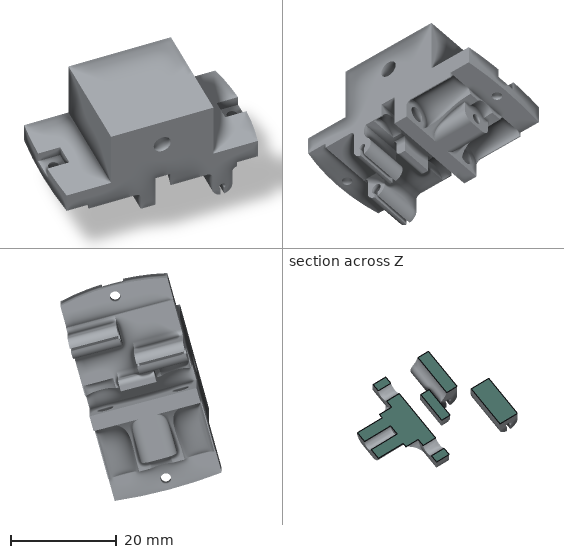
import cadquery as cq
import math


WIDTH = 21.0
HALF_WIDTH = WIDTH / 2
BLOCK_LENGTH = 21.0
BLOCK_TOP = 16.0
PLATE_TOP = 4.0
PLATE_CORNER_Y = 19.6
PLATE_FRONT_Y = -20.18
PLATE_BACK_Y = 20.8
CROSS_HOLE_DIAMETER = 3.5
CROSS_HOLE_Z = 10.25

SEAT_FLOOR_Z = 2.0
SEAT_HOLE_DIAMETER = 2.0
FRONT_SEAT_WIDTH = 4.5
FRONT_SEAT_INNER_Y = -15.65
FRONT_SEAT_HOLE_Y = -17.95
BACK_SEAT_WIDTH = 4.2
BACK_SEAT_INNER_Y = 16.4
BACK_SEAT_HOLE_Y = 18.65

BASE_BOTTOM = -1.05
BASE_FRONT_Y = -15.1
BASE_BACK_Y = 15.37
LEG_BOTTOM = -5.0
SLOT_FRONT_Y = -1.42
SLOT_BACK_Y = 1.7
SLOT_TOP = 1.9
ROOT_RADIUS = 1.0

FRONT_LEG_Y = -4.4
GUSSET_RADIUS = 15.0
BOSS_WIDTH = 7.0
BOSS_FRONT_Y = -12.95
BOSS_CORNER_RADIUS = 1.92
BOSS_HOLE_DIAMETER = 2.1
BOSS_HOLE_DEPTH = 6.0
BOSS_AXIS_Z = -2.95
BOSS_CLEARANCE_RADIUS = 2.83

RECESS_X = 7.38
RECESS_Z = -2.1
RECESS_RADIUS = 3.1
RECESS_HOLE_DIAMETER = 3.2

REAR_LEG_Y = 3.72

CLIP_INNER_X = 0.95
CLIP_RADIUS = 2.06
CLIP_HOLE_DIAMETER = 1.3
CLIP_MOUTH = 0.75
STRAIGHT_CLIP_Y = 12.32
STRAIGHT_CLIP_Z = -5.15
COUNTERBORE_DIAMETER = 2.1
COUNTERBORE_DEPTH = 1.0
CURVED_CLIP_Y = 6.4
CURVED_CLIP_Z = -6.384
THROAT_Y = 6.0
THROAT_RADIUS = 3.2


def box(x_range, y_range, z_range):
    """Box given by its limits along each axis."""
    size = [high - low for low, high in (x_range, y_range, z_range)]
    low_corner = (x_range[0], y_range[0], z_range[0])
    return cq.Workplane("XY").box(*size, centered=False).translate(low_corner)


def rod_y(x, z, radius, y_start, y_end):
    """Cylinder along Y."""
    start = cq.Vector(x, y_start, z)
    return cq.Workplane(cq.Solid.makeCylinder(radius, y_end - y_start, start, cq.Vector(0, 1, 0)))


def rod_x(y, z, radius, x_start, x_end):
    """Cylinder along X."""
    start = cq.Vector(x_start, y, z)
    return cq.Workplane(cq.Solid.makeCylinder(radius, x_end - x_start, start, cq.Vector(1, 0, 0)))


def side_plane(x):
    """Sketch plane facing +X whose local axes are Y and Z."""
    return cq.Workplane("YZ", origin=(x, 0, 0))


def root_fillet(y, outward, x_range):
    """Concave fillet between a leg face at y and the base; outward is +1 or -1 along Y."""
    diagonal = ROOT_RADIUS * (1 - math.sqrt(0.5))
    return (
        side_plane(x_range[0])
        .moveTo(y, BASE_BOTTOM)
        .lineTo(y + outward * ROOT_RADIUS, BASE_BOTTOM)
        .threePointArc((y + outward * diagonal, BASE_BOTTOM - diagonal), (y, BASE_BOTTOM - ROOT_RADIUS))
        .close()
        .extrude(x_range[1] - x_range[0])
    )


def make_plate():
    return (
        cq.Workplane("XY")
        .moveTo(-HALF_WIDTH, -PLATE_CORNER_Y)
        .threePointArc((0, PLATE_FRONT_Y), (HALF_WIDTH, -PLATE_CORNER_Y))
        .lineTo(HALF_WIDTH, PLATE_CORNER_Y)
        .threePointArc((0, PLATE_BACK_Y), (-HALF_WIDTH, PLATE_CORNER_Y))
        .close()
        .extrude(PLATE_TOP)
    )


def make_body():
    full_width = (-HALF_WIDTH, HALF_WIDTH)
    block = box(full_width, (-BLOCK_LENGTH / 2, BLOCK_LENGTH / 2), (0, BLOCK_TOP))
    base = box(full_width, (BASE_FRONT_Y, BASE_BACK_Y), (BASE_BOTTOM, PLATE_TOP))
    return make_plate().union(block).union(base)


def cut_seat(body, width, inner_y, outer_y, hole_y):
    """Open-ended screw seat with a through hole."""
    y_range = (min(inner_y, outer_y), max(inner_y, outer_y))
    seat = box((-width / 2, width / 2), y_range, (SEAT_FLOOR_Z, PLATE_TOP))
    hole = cq.Workplane("XY").center(0, hole_y).circle(SEAT_HOLE_DIAMETER / 2).extrude(PLATE_TOP)
    return body.cut(seat).cut(hole)


def make_front_leg():
    full_width = (-HALF_WIDTH, HALF_WIDTH)
    leg = box(full_width, (FRONT_LEG_Y, SLOT_FRONT_Y), (LEG_BOTTOM, 0))
    return leg.union(root_fillet(FRONT_LEG_Y, -1, full_width))


def make_gusset():
    """Large concave gusset from the foot of the front leg, tangent to the base underside."""
    drop = BASE_BOTTOM - LEG_BOTTOM
    centre_z = BASE_BOTTOM - GUSSET_RADIUS
    tangent_y = FRONT_LEG_Y - math.sqrt(GUSSET_RADIUS**2 - (GUSSET_RADIUS - drop) ** 2)
    half_angle = math.asin((FRONT_LEG_Y - tangent_y) / GUSSET_RADIUS) / 2
    middle = (
        tangent_y + GUSSET_RADIUS * math.sin(half_angle),
        centre_z + GUSSET_RADIUS * math.cos(half_angle),
    )
    return (
        side_plane(-RECESS_X)
        .moveTo(FRONT_LEG_Y, BASE_BOTTOM)
        .lineTo(tangent_y, BASE_BOTTOM)
        .threePointArc(middle, (FRONT_LEG_Y, LEG_BOTTOM))
        .close()
        .extrude(2 * RECESS_X)
    )


def make_boss():
    boss = box((-BOSS_WIDTH / 2, BOSS_WIDTH / 2), (BOSS_FRONT_Y, FRONT_LEG_Y), (LEG_BOTTOM, BASE_BOTTOM))
    return boss.edges("|Y and <Z").fillet(BOSS_CORNER_RADIUS)


def make_rear_leg():
    x_range = (-BOSS_WIDTH / 2, BOSS_WIDTH / 2)
    leg = box(x_range, (SLOT_BACK_Y, REAR_LEG_Y), (LEG_BOTTOM, BASE_BOTTOM))
    leg = leg.edges("|X and >Y and <Z").fillet(ROOT_RADIUS)
    return leg.union(root_fillet(REAR_LEG_Y, 1, x_range))


def cut_keyhole(clip, y, z, x_range):
    """Snap-in pin hole with an open mouth below it."""
    hole = rod_x(y, z, CLIP_HOLE_DIAMETER / 2, *x_range)
    mouth = box(x_range, (y - CLIP_MOUTH / 2, y + CLIP_MOUTH / 2), (z - 2 * CLIP_RADIUS, z))
    return clip.cut(hole).cut(mouth)


def make_straight_clip():
    x_range = (CLIP_INNER_X, HALF_WIDTH)
    front_y = STRAIGHT_CLIP_Y - CLIP_RADIUS
    back_y = STRAIGHT_CLIP_Y + CLIP_RADIUS
    clip = box(x_range, (front_y, back_y), (STRAIGHT_CLIP_Z, BASE_BOTTOM))
    clip = clip.union(rod_x(STRAIGHT_CLIP_Y, STRAIGHT_CLIP_Z, CLIP_RADIUS, *x_range))
    clip = clip.union(root_fillet(front_y, -1, x_range)).union(root_fillet(back_y, 1, x_range))
    counterbore = rod_x(
        STRAIGHT_CLIP_Y,
        STRAIGHT_CLIP_Z,
        COUNTERBORE_DIAMETER / 2,
        CLIP_INNER_X,
        CLIP_INNER_X + COUNTERBORE_DEPTH,
    )
    return cut_keyhole(clip.cut(counterbore), STRAIGHT_CLIP_Y, STRAIGHT_CLIP_Z, x_range)


def make_curved_clip():
    """Clip whose concave throat runs tangentially into the round tip."""
    x_range = (-HALF_WIDTH, -CLIP_INNER_X)
    back_y = CURVED_CLIP_Y + CLIP_RADIUS
    throat_centre_y = THROAT_Y - THROAT_RADIUS
    centre_distance = THROAT_RADIUS + CLIP_RADIUS
    offset_y = CURVED_CLIP_Y - throat_centre_y
    offset_z = math.sqrt(centre_distance**2 - offset_y**2)
    throat_centre_z = CURVED_CLIP_Z + offset_z
    tangent_y = throat_centre_y + offset_y * THROAT_RADIUS / centre_distance
    tangent_z = throat_centre_z - offset_z * THROAT_RADIUS / centre_distance
    throat_rise = BASE_BOTTOM - throat_centre_z
    throat_top_y = throat_centre_y + math.sqrt(THROAT_RADIUS**2 - throat_rise**2)
    clip = (
        side_plane(x_range[0])
        .moveTo(back_y, BASE_BOTTOM)
        .lineTo(throat_top_y, BASE_BOTTOM)
        .threePointArc((THROAT_Y, throat_centre_z), (tangent_y, tangent_z))
        .lineTo(CURVED_CLIP_Y, CURVED_CLIP_Z)
        .lineTo(back_y, CURVED_CLIP_Z)
        .close()
        .extrude(x_range[1] - x_range[0])
    )
    clip = clip.union(rod_x(CURVED_CLIP_Y, CURVED_CLIP_Z, CLIP_RADIUS, *x_range))
    clip = clip.union(root_fillet(back_y, 1, x_range))
    return cut_keyhole(clip, CURVED_CLIP_Y, CURVED_CLIP_Z, x_range)


def cut_slot(body):
    slot = box((-HALF_WIDTH, HALF_WIDTH), (SLOT_FRONT_Y, SLOT_BACK_Y), (LEG_BOTTOM, SLOT_TOP))
    return body.cut(slot)


def cut_recesses(body):
    """Round recesses before and behind the slot, joined by holes through the front leg."""
    for x in (-RECESS_X, RECESS_X):
        body = body.cut(rod_y(x, RECESS_Z, RECESS_RADIUS, BASE_FRONT_Y, FRONT_LEG_Y))
        body = body.cut(rod_y(x, RECESS_Z, RECESS_HOLE_DIAMETER / 2, FRONT_LEG_Y, SLOT_FRONT_Y))
        body = body.cut(rod_y(x, RECESS_Z, RECESS_RADIUS, SLOT_BACK_Y, REAR_LEG_Y))
    return body


def cut_boss_hole(body):
    """Blind hole in the boss and the round clearance through the base in front of it."""
    hole_end_y = BOSS_FRONT_Y + BOSS_HOLE_DEPTH
    body = body.cut(rod_y(0, BOSS_AXIS_Z, BOSS_CLEARANCE_RADIUS, BASE_FRONT_Y, BOSS_FRONT_Y))
    return body.cut(rod_y(0, BOSS_AXIS_Z, BOSS_HOLE_DIAMETER / 2, BOSS_FRONT_Y, hole_end_y))


body = make_body()
body = cut_seat(body, FRONT_SEAT_WIDTH, FRONT_SEAT_INNER_Y, PLATE_FRONT_Y, FRONT_SEAT_HOLE_Y)
body = cut_seat(body, BACK_SEAT_WIDTH, BACK_SEAT_INNER_Y, PLATE_BACK_Y, BACK_SEAT_HOLE_Y)
body = body.cut(rod_x(0, CROSS_HOLE_Z, CROSS_HOLE_DIAMETER / 2, -HALF_WIDTH, HALF_WIDTH))
body = body.union(make_front_leg()).union(make_gusset()).union(make_boss()).union(make_rear_leg())
body = cut_recesses(cut_slot(body))
body = cut_boss_hole(body)
result = body.union(make_straight_clip()).union(make_curved_clip())